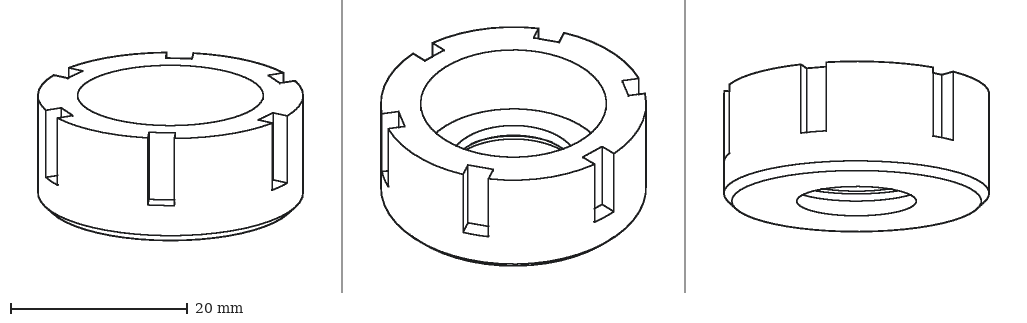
import cadquery as cq
import math

outer_diameter = 30.0
height = 12.5
bottom_chamfer = 0.9

bore_diameter = 21.0
bore_depth = 8.15
lip_diameter = 14.5

groove_diameter = 17.0
groove_top_z = 3.0
groove_floor_z = 2.0

throat_diameter = 13.5
seat_half_angle = 30.0

slot_count = 6
slot_width = 3.0
slot_depth = 2.0
slot_height = 8.0


def make_body():
    """Solid ring blank with a chamfered bottom edge."""
    blank = cq.Workplane("XY").circle(outer_diameter / 2).extrude(height)
    return blank.faces("<Z").edges().chamfer(bottom_chamfer)


def make_bore():
    """Revolved cutter: wide bore, lip hole, undercut groove and conical seat."""
    bore_floor_z = height - bore_depth
    throat_radius = throat_diameter / 2
    seat_top_radius = throat_radius + groove_floor_z * math.tan(math.radians(seat_half_angle))
    return (
        cq.Workplane("XZ")
        .moveTo(0, 0)
        .lineTo(throat_radius, 0)
        .lineTo(seat_top_radius, groove_floor_z)
        .lineTo(groove_diameter / 2, groove_floor_z)
        .lineTo(groove_diameter / 2, groove_top_z)
        .lineTo(lip_diameter / 2, groove_top_z)
        .lineTo(lip_diameter / 2, bore_floor_z)
        .lineTo(bore_diameter / 2, bore_floor_z)
        .lineTo(bore_diameter / 2, height)
        .lineTo(0, height)
        .close()
        .revolve(360, (0, 0, 0), (0, 1, 0))
    )


def make_slot(angle):
    """Box cutter for one slot, open outward and upward."""
    box_length = 2 * slot_depth
    return (
        cq.Workplane("XY")
        .box(box_length, slot_width, slot_height, centered=(True, True, False))
        .translate((outer_diameter / 2, 0, height - slot_height))
        .rotate((0, 0, 0), (0, 0, 1), angle)
    )


result = make_body().cut(make_bore())
for index in range(slot_count):
    result = result.cut(make_slot(index * 360 / slot_count))